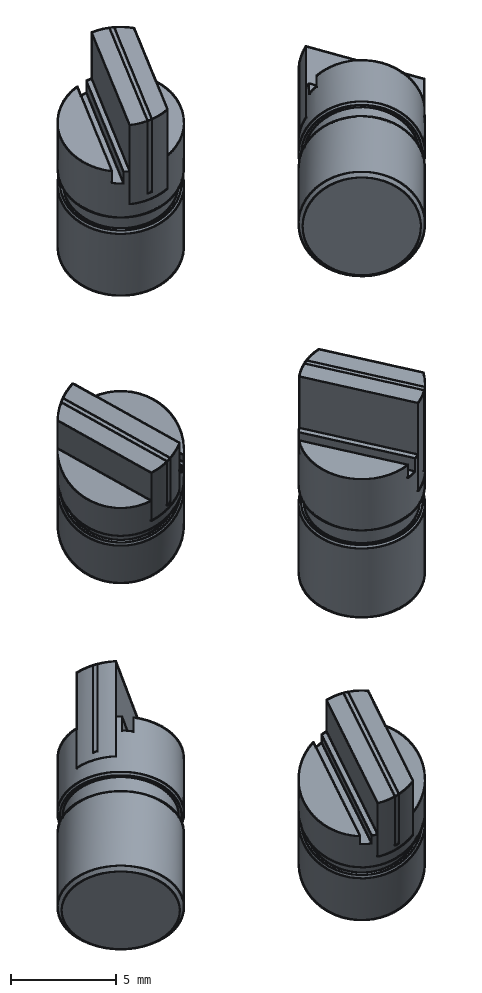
import cadquery as cq

total_height = 13.1
outer_diameter = 6.0

housing_height = 9.6
bottom_chamfer = 0.2
groove_diameter = 5.5
groove_bottom = 5.0
groove_width = 1.0
groove_chamfer = 0.12
notch_front_y = -1.3
notch_width = 0.51
notch_depth = 0.89

blade_thickness = 2.0
blade_center_y = 0.5
blade_height = 6.0
strip_thickness = 0.22
strip_height = 5.5

outer_radius = outer_diameter / 2
groove_radius = groove_diameter / 2
groove_top = groove_bottom + groove_width
chamfered_radius = outer_radius - groove_chamfer


def cross_slab(thickness, center_y, bottom_z, top_z):
    """Slab along X that reaches across the whole cylinder."""
    slab = cq.Workplane("XY").box(outer_diameter, thickness, top_z - bottom_z, centered=(True, True, False))
    return slab.translate((0, center_y, bottom_z))


def upright_plate(thickness, height):
    """Plate flush with the top of the part, its ends rounded to the outer diameter."""
    bottom_z = total_height - height
    envelope = cq.Workplane("XY").workplane(offset=bottom_z).circle(outer_radius).extrude(height)
    return envelope.intersect(cross_slab(thickness, blade_center_y, bottom_z, total_height))


def make_housing():
    """Turned cylinder with a chamfered groove, a blade slot and a narrow notch."""
    profile = [
        (0, 0),
        (outer_radius - bottom_chamfer, 0),
        (outer_radius, bottom_chamfer),
        (outer_radius, groove_bottom - groove_chamfer),
        (chamfered_radius, groove_bottom),
        (groove_radius, groove_bottom),
        (groove_radius, groove_top),
        (chamfered_radius, groove_top),
        (outer_radius, groove_top + groove_chamfer),
        (outer_radius, housing_height),
        (0, housing_height),
    ]
    turned = cq.Workplane("XZ").polyline(profile).close().revolve(360, (0, 0, 0), (0, 1, 0))
    blade_slot = cross_slab(blade_thickness, blade_center_y, total_height - blade_height, housing_height)
    notch_center_y = notch_front_y + notch_width / 2
    notch = cross_slab(notch_width, notch_center_y, housing_height - notch_depth, housing_height)
    return turned.cut(blade_slot).cut(notch)


def make_strip():
    """Thin plate in the middle of the blade."""
    return upright_plate(strip_thickness, strip_height)


def make_blade():
    """Thick plate with a slot, open at the top and both ends, that holds the strip."""
    strip_slot = cross_slab(strip_thickness, blade_center_y, total_height - strip_height, total_height)
    return upright_plate(blade_thickness, blade_height).cut(strip_slot)


housing = make_housing()
blade = make_blade()
strip = make_strip()

result = cq.Compound.makeCompound([housing.solids().val(), blade.solids().val(), strip.solids().val()])